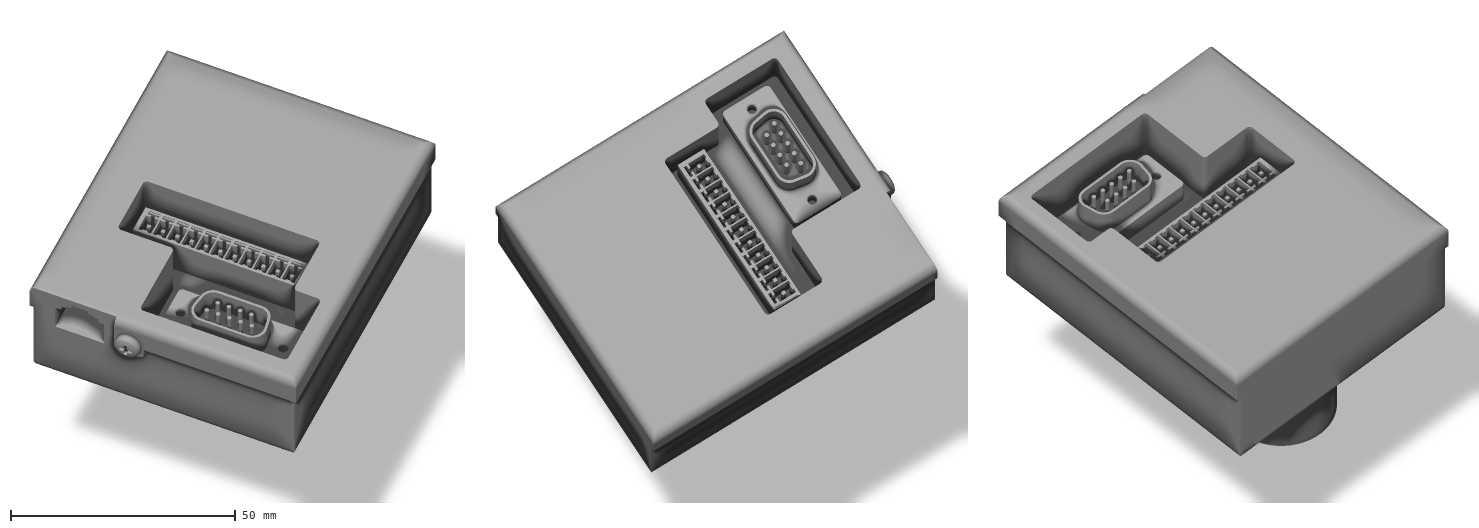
import cadquery as cq
import math


lid_width = 65.7
lid_depth = 76.4
side_overhang = 1.0
front_overhang = 1.25
box_height = 28.1
lid_band = 7.0
edge_radius = 2.05
box_width = lid_width - 2 * side_overhang
lid_front = -lid_depth / 2
box_front = lid_front + front_overhang
lid_bottom = box_height - lid_band

tab_width = 7.2
tab_drop = 10.05
tab_radius = 1.25
tab_x = -8.0
tab_left = tab_x - tab_width / 2

screw_z = box_height - 6.6
screw_diameter = 6.0
screw_height = 2.1
screw_rim_height = 0.9
screw_crown_height = 1.65
screw_crown_diameter = 5.2
screw_tip_diameter = 2.35
shoulder_bulge = 0.1
crown_bulge = 0.1
cross_length = 3.15
cross_width = 0.95
cross_depth = 1.1

jack_x = -20.6
jack_floor = 16.9
jack_depth = 11.8
jack_steps = [(6.0, 6.7), (4.55, 7.85), (3.2, 8.5), (2.05, 9.4)]

pocket_floor = 14.1
pocket_depth = box_height - pocket_floor
pocket_radius = 1.0
rear_bay_left, rear_bay_right = -21.7, 21.35
front_bay_left, front_bay_right = -7.7, 28.25
rear_bay_back = 1.1
bay_boundary = -14.0
front_bay_front = -33.05

terminal_count = 11
terminal_row_length = 35.0
terminal_pitch = terminal_row_length / (terminal_count - 1)
terminal_pin_size = 0.9
terminal_pin_drop = 0.8
terminal_pin_y = -6.0
block_width = 40.2
block_back = -1.9
block_front = -8.9
front_gap = 0.3
front_gap_depth = 0.8
block_height = 8.6
cell_depth = 6.3
cell_width = 3.15
cell_back = -4.0
cell_front = -8.25
keyway_width = 2.75
keyway_back = -2.8
keyway_front = -3.45
keyway_neck_width = 0.95
lead_in = 0.3
cell_bump_width = 1.25
cell_bump_depth = 0.3

dsub_x = 10.6
dsub_y = -23.5
flange_width = 30.9
flange_depth = 12.4
flange_height = 4.95
flange_top = pocket_floor + flange_height
shell_width = 17.6
shell_depth = 9.4
shell_height = 5.9
shell_wall = 0.6
shell_radius = 3.3
shell_taper = math.radians(10)
dsub_pin_diameter = 1.0
dsub_pin_height = 6.05
dsub_pin_pitch = 2.75
dsub_row_spacing = 2.9
mount_spacing = 25.05
mount_diameter = 2.05
mount_countersink = 2.5
mount_countersink_angle = 90
mount_depth = 3.9

neck_y = 18.45
nut_flats = 30.1
nut_corner_diameter = 33.1
nut_height = 3.3
neck_diameter = 25.0
neck_length = 19.6
neck_chamfer = 0.55


def block(x_range, y_range, z_range):
    """Axis-aligned box between the given limits."""
    (x0, x1), (y0, y1), (z0, z1) = x_range, y_range, z_range
    return cq.Workplane("XY").box(x1 - x0, y1 - y0, z1 - z0, centered=False).translate((x0, y0, z0))


def make_enclosure():
    half_box = box_width / 2
    half_lid = lid_width / 2
    back = lid_depth / 2
    box = block((-half_box, half_box), (box_front, back), (0, box_height - edge_radius))
    box = box.faces("<Z").edges().fillet(edge_radius)
    lid = block((-half_lid, half_lid), (lid_front, back), (lid_bottom, box_height))
    lid = lid.faces(">Z").edges().fillet(edge_radius)
    lid = lid.cut(block((-half_lid, tab_left), (lid_front, box_front), (lid_bottom, box_height)))
    tab_bottom = box_height - tab_drop
    tab = block((tab_left, tab_left + tab_width), (lid_front, box_front), (tab_bottom, lid_bottom))
    tab = tab.faces("<Z").edges("|Y").fillet(tab_radius)
    return box.union(lid).union(tab)


def make_screw():
    """Domed cross-recess screw head, pointing to -Y."""
    rim = screw_diameter / 2
    crown = screw_crown_diameter / 2
    tip = screw_tip_diameter / 2
    head = (
        cq.Workplane("XY")
        .lineTo(rim, 0)
        .lineTo(rim, screw_rim_height)
        .sagittaArc((crown, screw_crown_height), -shoulder_bulge)
        .sagittaArc((tip, screw_height), -crown_bulge)
        .lineTo(0, screw_height)
        .close()
        .revolve(360, (0, 0, 0), (0, 1, 0))
    )
    recess = cq.Workplane("XY").box(cross_length, screw_height, cross_width)
    recess = recess.union(cq.Workplane("XY").box(cross_width, screw_height, cross_length))
    recess_centre = screw_height - cross_depth + screw_height / 2
    head = head.cut(recess.translate((0, recess_centre, 0)))
    return head.rotate((0, 0, 0), (1, 0, 0), 180).translate((tab_x, lid_front, screw_z))


def make_jack_opening():
    opening = cq.Workplane("XY")
    for half_width, top in jack_steps:
        opening = opening.union(
            block(
                (jack_x - half_width, jack_x + half_width),
                (box_front, box_front + jack_depth),
                (jack_floor, jack_floor + top),
            )
        )
    return opening


def make_pocket():
    outline = [
        (rear_bay_left, rear_bay_back),
        (rear_bay_right, rear_bay_back),
        (rear_bay_right, bay_boundary),
        (front_bay_right, bay_boundary),
        (front_bay_right, front_bay_front),
        (front_bay_left, front_bay_front),
        (front_bay_left, bay_boundary),
        (rear_bay_left, bay_boundary),
    ]
    pocket = cq.Workplane("XY").polyline(outline).close().extrude(pocket_depth)
    return pocket.edges("|Z").fillet(pocket_radius).translate((0, 0, pocket_floor))


def make_front_gap():
    """Narrow groove in the pocket floor along the front of the terminal block."""
    half_width = block_width / 2
    return block(
        (-half_width, half_width),
        (block_front - front_gap, block_front),
        (pocket_floor - front_gap_depth, pocket_floor),
    )


def make_terminal_cell(x):
    """Void for one plug position: the cell, its T-shaped keyway and the keyway lead-in."""
    top = pocket_floor + block_height
    depth = (top - cell_depth, top)

    def centred(width):
        return (x - width / 2, x + width / 2)

    cell = block(centred(cell_width), (cell_front, cell_back), depth)
    cell = cell.cut(block(centred(cell_bump_width), (cell_front, cell_front + cell_bump_depth), depth))
    cell = cell.union(block(centred(keyway_neck_width), (cell_back, keyway_front), depth))
    cell = cell.union(block(centred(keyway_width), (keyway_front, keyway_back), depth))
    lead_in_back = keyway_back + lead_in
    return cell.union(block(centred(keyway_width), (keyway_front, lead_in_back), (top - lead_in, top)))


def make_terminal_block():
    top = pocket_floor + block_height
    half_width = block_width / 2
    body = block((-half_width, half_width), (block_front, block_back), (pocket_floor, top))
    half_pin = terminal_pin_size / 2
    for i in range(terminal_count):
        x = (i - (terminal_count - 1) / 2) * terminal_pitch
        pin = block(
            (x - half_pin, x + half_pin),
            (terminal_pin_y - half_pin, terminal_pin_y + half_pin),
            (top - cell_depth, top - terminal_pin_drop),
        )
        body = body.cut(make_terminal_cell(x)).union(pin)
    return body


def make_d_prism(inset):
    """D-shaped prism with tapered ends and rounded corners, shrunk by the inset."""
    half_depth = shell_depth / 2 - inset
    mid_half_width = shell_width / 2 - inset / math.cos(shell_taper)
    lean = half_depth * math.tan(shell_taper)
    back_half = mid_half_width - lean
    front_half = mid_half_width + lean
    outline = [
        (-front_half, -half_depth),
        (front_half, -half_depth),
        (back_half, half_depth),
        (-back_half, half_depth),
    ]
    prism = cq.Workplane("XY").polyline(outline).close().extrude(shell_height)
    return prism.edges("|Z").fillet(shell_radius - inset)


def make_dsub():
    """Nine-pin connector, built around its own centre and then moved into the pocket."""
    body = cq.Workplane("XY").rect(flange_width, flange_depth).extrude(-flange_height)
    body = body.edges("|Z").fillet(pocket_radius)
    mounts = [(-mount_spacing / 2, 0), (mount_spacing / 2, 0)]
    body = body.faces(">Z").workplane(origin=(0, 0, 0)).pushPoints(mounts)
    body = body.cskHole(mount_diameter, mount_countersink, mount_countersink_angle, mount_depth)
    body = body.union(make_d_prism(0).cut(make_d_prism(shell_wall)))
    for count, y in ((4, dsub_row_spacing / 2), (5, -dsub_row_spacing / 2)):
        pins = cq.Workplane("XY").center(0, y).rarray(dsub_pin_pitch, 0.8, count, 1)
        body = body.union(pins.circle(dsub_pin_diameter / 2).extrude(dsub_pin_height))
    return body.translate((dsub_x, dsub_y, flange_top))


def make_neck():
    """Hexagon nut with rounded corners, flats facing +X and -X, and the neck below it."""
    hexagon_diameter = nut_flats / math.cos(math.pi / 6)
    nut = cq.Workplane("XY").polygon(6, hexagon_diameter).extrude(-nut_height)
    nut = nut.rotate((0, 0, 0), (0, 0, 1), 30)
    nut = nut.intersect(cq.Workplane("XY").circle(nut_corner_diameter / 2).extrude(-nut_height))
    neck = cq.Workplane("XY").circle(neck_diameter / 2).extrude(-nut_height - neck_length)
    neck = neck.faces("<Z").chamfer(neck_chamfer)
    return nut.union(neck).translate((0, neck_y, 0))


result = (
    make_enclosure()
    .cut(make_jack_opening())
    .cut(make_pocket())
    .cut(make_front_gap())
    .union(make_terminal_block())
    .union(make_dsub())
    .union(make_screw())
    .union(make_neck())
)